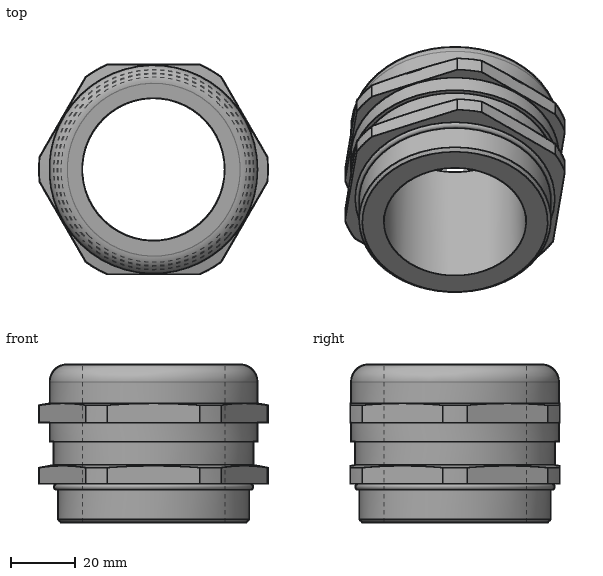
import cadquery as cq
import math

bore_radius = 22.0
thread_radius = 29.7
ring_radius = 30.9
neck_radius = 31.0
cap_radius = 32.2

thread_top = 10.1
lower_hex_bottom = 12.0
lower_hex_top = 17.8
neck_top = 25.05
upper_hex_bottom = 30.95
upper_hex_top = 36.9
total_height = 49.0

dome_radius = 5.5
thread_chamfer = 1.0

hex_across_flats = 65.0
hex_corner_radius = 35.5
hex_bevel_angle = 10.5


def cylinder(radius, bottom, top):
    return cq.Workplane("XY").workplane(offset=bottom).circle(radius).extrude(top - bottom)


def hexagon(bottom, top, inner_radius):
    """Hexagon with turned corners and a conical top starting at inner_radius."""
    across_corners = hex_across_flats / math.cos(math.radians(30))
    drop = (hex_corner_radius - inner_radius) * math.tan(math.radians(hex_bevel_angle))
    prism = (
        cq.Workplane("XY")
        .workplane(offset=bottom)
        .polygon(6, across_corners)
        .extrude(top - bottom)
    )
    turned_blank = (
        cq.Workplane("XZ")
        .moveTo(0, bottom)
        .lineTo(hex_corner_radius, bottom)
        .lineTo(hex_corner_radius, top - drop)
        .lineTo(inner_radius, top)
        .lineTo(0, top)
        .close()
        .revolve(360, (0, 0), (0, 1))
    )
    return prism.intersect(turned_blank)


def sealing_ring():
    """Disc with a half-round rim, seated under the lower hexagon."""
    rim_radius = (lower_hex_bottom - thread_top) / 2
    rim_centre = ring_radius - rim_radius
    return (
        cq.Workplane("XZ")
        .moveTo(0, thread_top)
        .lineTo(rim_centre, thread_top)
        .threePointArc((ring_radius, thread_top + rim_radius), (rim_centre, lower_hex_bottom))
        .lineTo(0, lower_hex_bottom)
        .close()
        .revolve(360, (0, 0), (0, 1))
    )


thread = cylinder(thread_radius, 0, thread_top).faces("<Z").edges().chamfer(thread_chamfer)
neck = cylinder(neck_radius, lower_hex_bottom, neck_top)
cap = cylinder(cap_radius, neck_top, total_height).faces(">Z").edges().fillet(dome_radius)

body = thread.union(sealing_ring()).union(neck).union(cap)
body = body.union(hexagon(lower_hex_bottom, lower_hex_top, neck_radius))
body = body.union(hexagon(upper_hex_bottom, upper_hex_top, cap_radius))
result = body.cut(cylinder(bore_radius, 0, total_height))